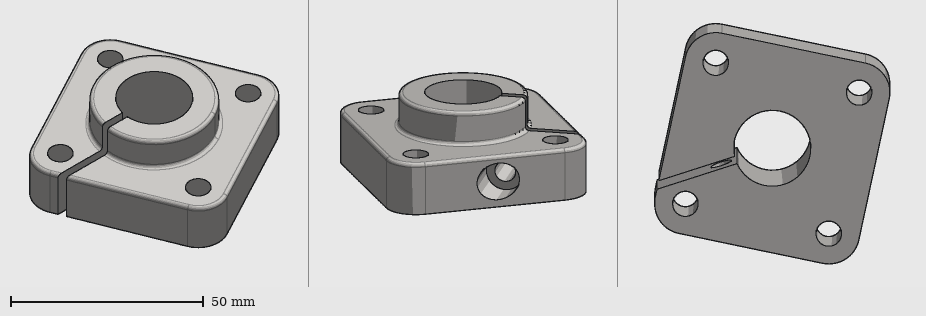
import cadquery as cq
import math

flange_side = 54.0
flange_height = 14.0
corner_radius = 8.0
edge_fillet = 1.0

total_height = 23.0
boss_diameter = 33.5
bore_diameter = 20.0

mount_hole_diameter = 6.6
mount_hole_spacing = flange_side - 2 * corner_radius

slot_width = 2.0
slot_angle = 240.0

screw_radial_distance = 14.25
seat_distance = 14.4
head_diameter = 10.0
clearance_diameter = 5.5
tapped_diameter = 4.15
tapped_depth = 13.5


def make_body():
    """Flange and boss with rounded upper edges and a fillet at the boss foot."""
    flange = (
        cq.Workplane("XY")
        .rect(flange_side, flange_side)
        .extrude(flange_height)
        .edges("|Z")
        .fillet(corner_radius)
        .faces(">Z")
        .edges()
        .fillet(edge_fillet)
    )
    boss = cq.Workplane("XY").circle(boss_diameter / 2).extrude(total_height)
    boss = boss.faces(">Z").edges().fillet(edge_fillet)
    body = flange.union(boss)
    foot_edge = cq.selectors.BoxSelector(
        (-edge_fillet, -edge_fillet, flange_height - edge_fillet / 2),
        (edge_fillet, edge_fillet, flange_height + edge_fillet / 2),
    )
    return body.edges(foot_edge).fillet(edge_fillet)


def make_vertical_holes():
    """Bore and four mounting holes, all the way through."""
    bore = cq.Workplane("XY").circle(bore_diameter / 2).extrude(total_height)
    mount_holes = (
        cq.Workplane("XY")
        .rect(mount_hole_spacing, mount_hole_spacing, forConstruction=True)
        .vertices()
        .circle(mount_hole_diameter / 2)
        .extrude(total_height)
    )
    return bore.union(mount_holes)


def make_slot():
    """Slot cutter running outward from the bore axis."""
    return (
        cq.Workplane("XY")
        .box(flange_side, slot_width, total_height, centered=(False, True, False))
        .rotate((0, 0, 0), (0, 0, 1), slot_angle)
    )


def make_screw_hole():
    """Stepped screw hole: head recess, clearance up to the slot, then a blind tapped hole."""
    angle = math.radians(slot_angle)
    crossing = cq.Vector(
        screw_radial_distance * math.cos(angle),
        screw_radial_distance * math.sin(angle),
        flange_height / 2,
    )
    screw_direction = cq.Vector(-math.sin(angle), math.cos(angle), 0)

    def step(diameter, start, end):
        base = crossing + screw_direction * start
        return cq.Workplane(
            cq.Solid.makeCylinder(diameter / 2, end - start, base, screw_direction)
        )

    head_recess = step(head_diameter, -flange_side, -seat_distance)
    clearance = step(clearance_diameter, -seat_distance, 0)
    tapped = step(tapped_diameter, 0, tapped_depth)
    return head_recess.union(clearance).union(tapped)


result = make_body().cut(make_vertical_holes()).cut(make_slot()).cut(make_screw_hole())